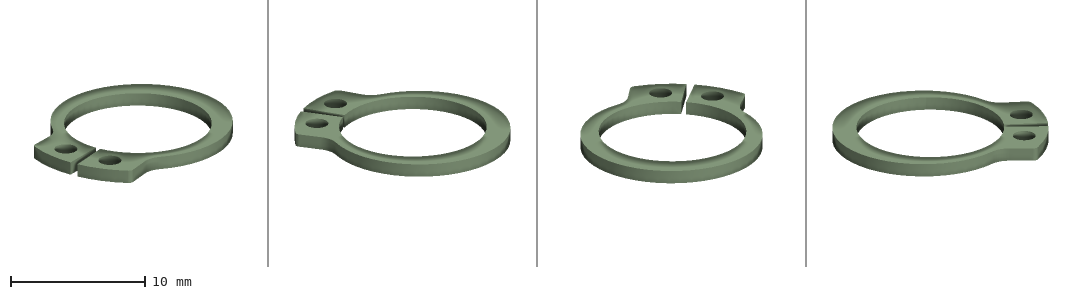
import cadquery as cq
import math

total_length = 16.1
thickness = 1.0
outer_diameter = 13.57
bore_diameter = 11.0
lug_tip_radius = 8.8
gap_half_angle = 2.0
lug_neck_half_width = 4.23
lug_neck_y = -5.7
lug_side_tilt = 3.2
neck_fillet = 1.74
corner_fillet = 0.42
hole_diameter = 1.7
hole_x = 1.95
hole_y = -6.89

gap_slope = math.tan(math.radians(gap_half_angle))
lug_bottom = lug_tip_radius * math.cos(math.radians(gap_half_angle))
ring_offset = total_length - lug_bottom - outer_diameter / 2
cut_reach = 1.2 * lug_tip_radius


def make_lugs():
    """Tapered block trimmed by the tip arc, with rounded outer corners."""
    def half_width(y):
        return lug_neck_half_width + (lug_neck_y - y) * math.tan(math.radians(lug_side_tilt))

    block = (
        cq.Workplane("XY")
        .polyline([
            (-half_width(0), 0),
            (half_width(0), 0),
            (half_width(-cut_reach), -cut_reach),
            (-half_width(-cut_reach), -cut_reach),
        ])
        .close()
        .extrude(thickness)
    )
    tip_disc = cq.Workplane("XY").circle(lug_tip_radius).extrude(thickness)
    return block.intersect(tip_disc).edges("|Z").edges("<Y").fillet(corner_fillet)


def make_gap():
    """Wedge with both faces radial to the bore axis."""
    half_gap = cut_reach * gap_slope
    return (
        cq.Workplane("XY")
        .polyline([(0, 0), (half_gap, -cut_reach), (-half_gap, -cut_reach)])
        .close()
        .extrude(thickness)
    )


ring = cq.Workplane("XY").center(0, ring_offset).circle(outer_diameter / 2).extrude(thickness)
body = ring.union(make_lugs())

neck_zone = cq.selectors.BoxSelector(
    (-outer_diameter / 2, lug_neck_y, 0),
    (outer_diameter / 2, 0, thickness),
)
body = body.edges("|Z").edges(neck_zone).fillet(neck_fillet)

bore = cq.Workplane("XY").circle(bore_diameter / 2).extrude(thickness)
plier_holes = (
    cq.Workplane("XY")
    .pushPoints([(-hole_x, hole_y), (hole_x, hole_y)])
    .circle(hole_diameter / 2)
    .extrude(thickness)
)
result = body.cut(bore).cut(make_gap()).cut(plier_holes)